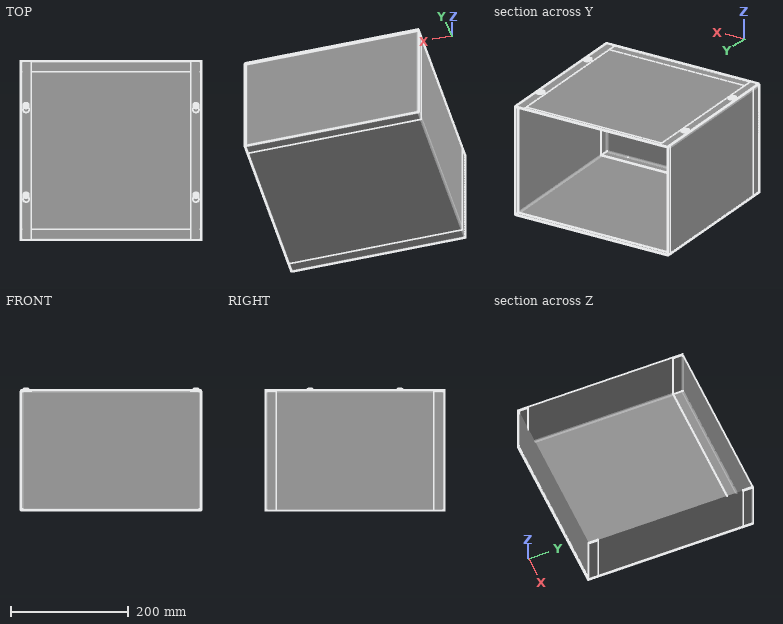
import cadquery as cq
import math

sheet = 1.5
bend_radius = 2.5

box_width = 308.0
box_length = 305.0
box_height = 204.8
flange_width = 18.5

pan_depth = 18.5

cover_side_gap = sheet
keyhole_diameter = 10.5
keyhole_slot_width = 7.0
keyhole_offset = 6.5

screw_x = 144.5
screw_y = box_length / 4
head_diameter = 10.0
head_height = 2.6
shank_diameter = 3.7
shank_length = 9.2
recess_length = 5.5
recess_width = 1.0
recess_depth = 1.2

cover_top = box_height + sheet
inner_width = box_width - 2 * sheet
screw_points = [(x, y) for x in (-screw_x, screw_x) for y in (-screw_y, screw_y)]


def make_wrapper():
    """Tube of sheet along Y with rounded bends, opened at the top between the two flanges."""
    inner_radius = bend_radius - sheet
    outside = cq.Workplane("XY").box(box_width, box_length, box_height, centered=(True, True, False))
    inside = (
        cq.Workplane("XY")
        .workplane(offset=sheet)
        .box(inner_width, box_length, box_height - 2 * sheet, centered=(True, True, False))
    )
    wrapper = outside.edges("|Y").fillet(bend_radius).cut(inside.edges("|Y").fillet(inner_radius))

    opening_width = box_width - 2 * flange_width
    opening = (
        cq.Workplane("XY")
        .workplane(offset=box_height / 2)
        .box(opening_width, box_length, box_height, centered=(True, True, False))
    )
    screw_holes = (
        cq.Workplane("XY")
        .workplane(offset=box_height - 2 * sheet)
        .pushPoints(screw_points)
        .circle(shank_diameter / 2)
        .extrude(2 * sheet)
    )
    return wrapper.cut(opening).cut(screw_holes)


def make_front_pan(wrapper):
    """Pan between the wrapper sides; its rim points inward and its top rim lies between the flanges."""
    pan_height = box_height - sheet
    outside = (
        cq.Workplane("XY")
        .box(inner_width, pan_depth, pan_height, centered=(True, False, False))
        .faces("<Y").edges().fillet(bend_radius)
    )
    inside = (
        cq.Workplane("XY")
        .workplane(offset=sheet)
        .center(0, sheet)
        .box(inner_width - 2 * sheet, pan_depth, pan_height - 2 * sheet, centered=(True, False, False))
        .faces("<Y").edges().fillet(bend_radius - sheet)
    )
    pan = outside.cut(inside).translate((0, -box_length / 2, sheet))
    strip_x = (box_width - flange_width) / 2
    flange_strips = (
        cq.Workplane("XY")
        .workplane(offset=box_height - sheet)
        .pushPoints([(-strip_x, 0), (strip_x, 0)])
        .rect(flange_width, box_length)
        .extrude(sheet)
    )
    return pan.cut(flange_strips).cut(wrapper)


def make_cover():
    """Flat sheet over the whole box, with a keyhole at each screw."""
    cover_width = box_width - 2 * cover_side_gap
    cover = (
        cq.Workplane("XY")
        .workplane(offset=box_height)
        .box(cover_width, box_length, sheet, centered=(True, True, False))
    )
    keyhole_points = [(x, y - keyhole_offset) for x, y in screw_points]
    entries = (
        cq.Workplane("XY")
        .workplane(offset=box_height)
        .pushPoints(keyhole_points)
        .circle(keyhole_diameter / 2)
        .extrude(sheet)
    )
    slot_length = keyhole_offset + keyhole_slot_width
    slot_points = [(x, y - keyhole_offset / 2) for x, y in screw_points]
    slots = (
        cq.Workplane("XY")
        .workplane(offset=box_height)
        .pushPoints(slot_points)
        .slot2D(slot_length, keyhole_slot_width, 90)
        .extrude(sheet)
    )
    return cover.cut(entries).cut(slots)


def make_screw():
    """Round-topped screw with a cross recess; the underside of its head is at the origin."""
    head_radius = head_diameter / 2
    shank_radius = shank_diameter / 2
    dome_radius = (head_radius**2 + head_height**2) / (2 * head_height)
    half_angle = math.asin(head_radius / dome_radius) / 2
    dome_middle = (
        dome_radius * math.sin(half_angle),
        head_height - dome_radius * (1 - math.cos(half_angle)),
    )
    body = (
        cq.Workplane("XZ")
        .moveTo(0, -shank_length)
        .lineTo(shank_radius, -shank_length)
        .lineTo(shank_radius, 0)
        .lineTo(head_radius, 0)
        .threePointArc(dome_middle, (0, head_height))
        .close()
        .revolve(360, (0, 0, 0), (0, 1, 0))
    )
    recess_floor = cq.Workplane("XY").workplane(offset=head_height - recess_depth)
    for bar_x, bar_y in ((recess_length, recess_width), (recess_width, recess_length)):
        body = body.cut(recess_floor.rect(bar_x, bar_y).extrude(head_height))
    return body


wrapper = make_wrapper()
front_pan = make_front_pan(wrapper)
back_pan = front_pan.mirror("XZ")
cover = make_cover()
screw = make_screw()
screws = [screw.translate((x, y, cover_top)) for x, y in screw_points]

result = cq.Compound.makeCompound(
    [
        wrapper.val(),
        front_pan.val(),
        back_pan.val(),
        cover.val(),
        *[placed.val() for placed in screws],
    ]
)